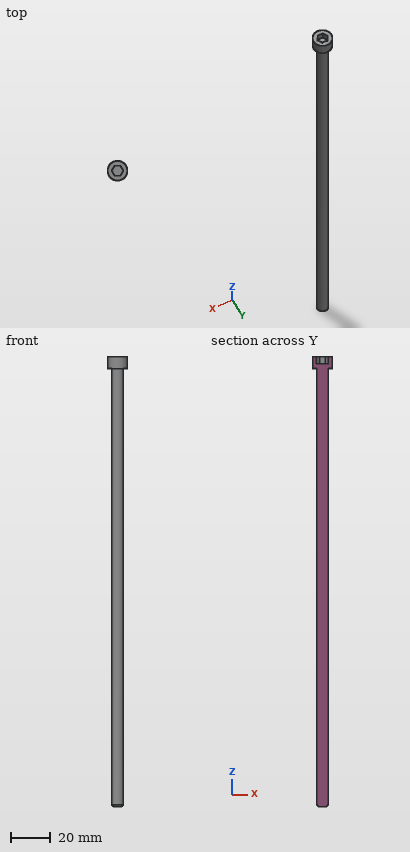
import cadquery as cq
import math

thread_diameter = 6.0
shank_length = 220.0
threaded_length = 24.0
tip_chamfer = 1.05

head_diameter = 10.0
head_height = thread_diameter

socket_across_flats = 5.02
socket_depth = 3.5
HEXAGON_SIDES = 6


def make_plain_shank():
    """Unthreaded shank hanging from the head down to the start of the thread."""
    plain_length = shank_length - threaded_length
    return cq.Workplane("XY").circle(thread_diameter / 2).extrude(-plain_length)


def make_thread():
    """Thread simplified to a cylinder at its major diameter, chamfered at the tip."""
    return (
        cq.Workplane("XY")
        .workplane(offset=-shank_length)
        .circle(thread_diameter / 2)
        .extrude(threaded_length)
        .faces("<Z")
        .chamfer(tip_chamfer)
    )


def make_head():
    """Plain cylindrical head standing on the shank."""
    return cq.Workplane("XY").circle(head_diameter / 2).extrude(head_height)


def make_socket():
    """Hexagonal key socket, corners on the X axis, sunk from the top of the head."""
    corner_radius = socket_across_flats / 2 / math.cos(math.pi / HEXAGON_SIDES)
    corners = []
    for index in range(HEXAGON_SIDES):
        angle = 2 * math.pi * index / HEXAGON_SIDES
        corners.append((corner_radius * math.cos(angle), corner_radius * math.sin(angle)))
    return (
        cq.Workplane("XY")
        .workplane(offset=head_height)
        .polyline(corners)
        .close()
        .extrude(-socket_depth)
    )


screw = make_head()
screw = screw.union(make_plain_shank(), clean=False)
screw = screw.union(make_thread(), clean=False)
result = screw.cut(make_socket(), clean=False)